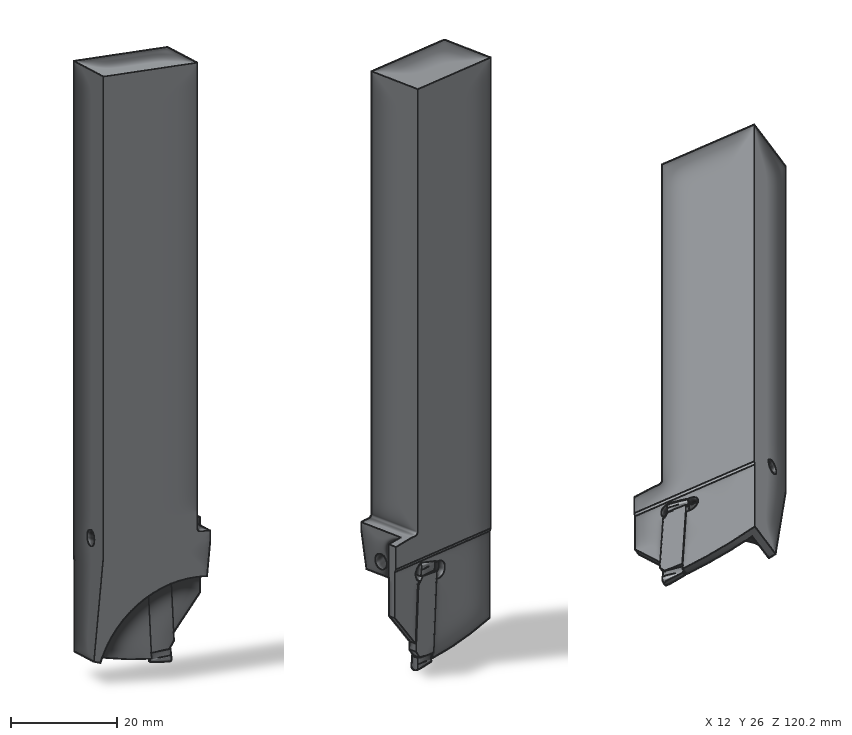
import cadquery as cq
import math

shank_width = 12.0
shank_depth = 20.0
overall_height = 120.2

head_reach = 22.8
blade_reach = 26.0
blade_thickness = 1.8
shoulder_height = 28.2
shoulder_slope_start = 21.8
shoulder_slope = math.radians(7)
shoulder_fillet = 0.8

taper_start = 26.3
taper_angle = math.radians(10)
recess_depth = 0.25
recess_top = 23.05
recess_bottom = 22.4

heel_height = 4.5
arc_middle = (8.0, 2.35)
arc_end = (15.7, 1.3)
nose_tip = (20.2, 5.6)
nose_top = 12.9

clearance_radius = 19.0

coolant_diameter = 3.0
coolant_x = 6.9
coolant_z = 28.45
coolant_slope = 17.0
coolant_length = 40.0

insert_lean = 3.0
insert_length = 22.0
insert_width = blade_thickness
insert_back = shank_depth - 4.24
insert_ridge = shank_depth + 0.7
insert_end_relief = math.radians(10)
ridge_start = 4.2
groove_depth = 0.4
cutting_head_length = 2.7
nose_radius = insert_width / 2
neck_half_width = nose_radius - 0.15
rake_land = 0.7
side_relief = 8.0

relief_holes = [(18.45, 20.05, 1.87), (14.1, 19.05, 1.8)]

margin = 2.0


def side_plate(outline, thickness, x_start=0.0):
    """Extrude a closed YZ outline in +X."""
    return outline.extrude(thickness).translate((x_start, 0, 0))


def lean(shape):
    """Tilt an upright insert shape about its cutting edge."""
    return shape.rotate((0, shank_depth, 0), (1, shank_depth, 0), insert_lean)



def holder_plate(reach, thickness):
    """Shank and head in one plate, whose head extends to Y = reach."""
    shoulder_end = shoulder_height - (reach - shoulder_slope_start) * math.tan(shoulder_slope)
    nose_rise = (nose_top - nose_tip[1]) / (blade_reach - nose_tip[0])
    nose_end = nose_top - (blade_reach - reach) * nose_rise
    outline = (
        cq.Workplane("YZ")
        .moveTo(0, overall_height)
        .lineTo(0, heel_height)
        .threePointArc(arc_middle, arc_end)
        .lineTo(*nose_tip)
        .lineTo(reach, nose_end)
        .lineTo(reach, shoulder_end)
        .lineTo(shoulder_slope_start, shoulder_height)
        .lineTo(shank_depth + shoulder_fillet, shoulder_height)
        .radiusArc((shank_depth, shoulder_height + shoulder_fillet), shoulder_fillet)
        .lineTo(shank_depth, overall_height)
        .close()
    )
    return side_plate(outline, thickness)


def workpiece_clearance():
    disc = cq.Workplane("YZ").center(shank_depth, 0).circle(clearance_radius)
    return side_plate(disc, shank_width, blade_thickness)


def taper_cut():
    taper_run = taper_start * math.tan(taper_angle)
    wedge = [(shank_width, taper_start), (shank_width - taper_run, 0), (shank_width, 0)]
    return cq.Workplane("XZ").polyline(wedge).close().extrude(-blade_reach)


def recess_cut():
    strip = [(0, recess_top), (recess_depth, recess_bottom), (recess_depth, 0), (0, 0)]
    return cq.Workplane("XZ").polyline(strip).close().extrude(-blade_reach)


def coolant_hole():
    drill = cq.Workplane("XZ", origin=(0, -margin, 0)).circle(coolant_diameter / 2).extrude(-coolant_length)
    drill = drill.rotate((0, 0, 0), (1, 0, 0), -coolant_slope)
    return drill.translate((coolant_x, 0, coolant_z))


def insert_pocket():
    """Slot that fits the insert, with relief holes at its inner corners."""
    pocket = lean(side_plate(insert_outline(), insert_width))
    for y, z, radius in relief_holes:
        hole = cq.Workplane("YZ").center(y, z).circle(radius)
        pocket = pocket.union(side_plate(hole, insert_width))
    return pocket


def make_holder():
    thick_part = holder_plate(head_reach, shank_width).cut(workpiece_clearance())
    body = thick_part.union(holder_plate(blade_reach, blade_thickness))
    for cutter in (taper_cut(), recess_cut(), coolant_hole(), insert_pocket()):
        body = body.cut(cutter)
    return body



def insert_outline():
    """Side outline of the upright insert: raised ridge, a groove behind each rake face, relieved ends."""
    end_drop = (shank_depth - insert_back) * math.tan(insert_end_relief)
    lower_end = [
        (insert_back, end_drop),
        (shank_depth, 0),
        (shank_depth, cutting_head_length),
        (shank_depth - groove_depth, cutting_head_length),
        (insert_ridge, ridge_start),
    ]
    upper_end = [(y, insert_length - z) for y, z in reversed(lower_end)]
    return cq.Workplane("YZ").polyline(lower_end + upper_end).close()


def cutting_head_form():
    """Round nose on a narrower neck: straight for the rake land, then relieved towards the back."""
    neck_start = nose_radius + math.sqrt(nose_radius**2 - neck_half_width**2)
    middle = insert_width / 2
    neck_end = cutting_head_length + margin

    def form(y_start):
        return (
            cq.Workplane("XZ", origin=(0, y_start, 0))
            .moveTo(middle - neck_half_width, neck_start)
            .threePointArc((middle, 0), (middle + neck_half_width, neck_start))
            .lineTo(middle + neck_half_width, neck_end)
            .lineTo(middle - neck_half_width, neck_end)
            .close()
        )

    land_end = shank_depth - rake_land
    land = form(shank_depth).extrude(rake_land)
    relieved = form(land_end).extrude(land_end - insert_back, taper=side_relief)
    return land.union(relieved)


def make_insert():
    bar = side_plate(insert_outline(), insert_width)
    head_zone = cq.Workplane().box(insert_width, shank_depth, cutting_head_length, centered=False)
    lower_trim = head_zone.cut(cutting_head_form())
    upper_trim = lower_trim.mirror("XY", (0, 0, insert_length / 2))
    return lean(bar.cut(lower_trim).cut(upper_trim))


holder = make_holder()
insert = make_insert()
result = cq.Compound.makeCompound([holder.val(), insert.val()])